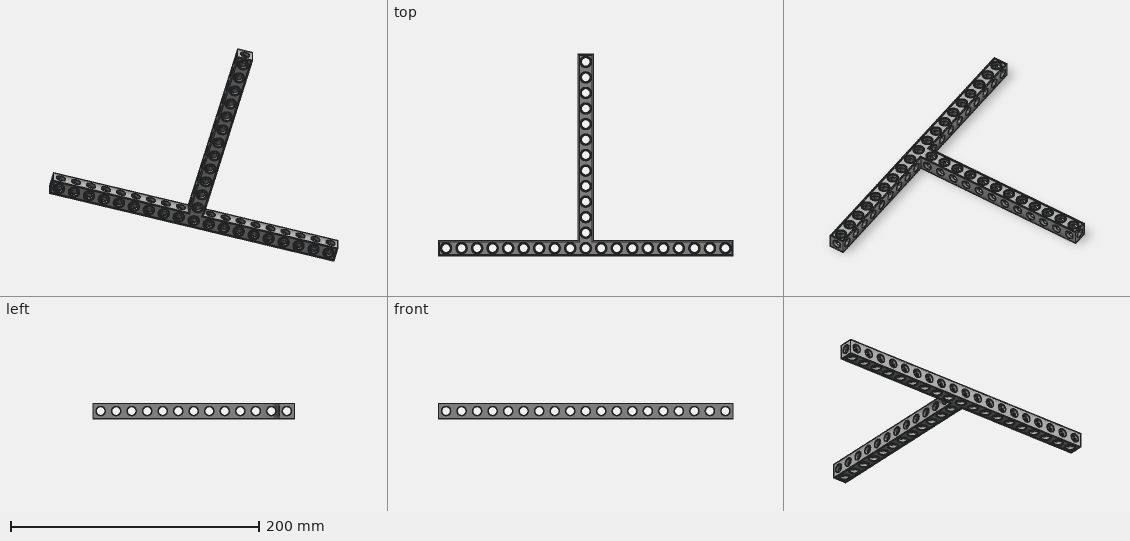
import cadquery as cq
pitch = 12.5
bar_cells = 19
stem_cells = 12
bore_diameter = 7.0
mouth_chamfer = 0.3
border_width = 1.1
recess_depth = 0.2

half_width = pitch / 2
bar_length = bar_cells * pitch
stem_length = stem_cells * pitch
bore_radius = bore_diameter / 2
mouth_radius = bore_radius + mouth_chamfer
rim_radius = bore_radius + border_width

bar_x = [(i - (bar_cells - 1) / 2) * pitch for i in range(bar_cells)]
row_y = [i * pitch for i in range(stem_cells + 1)]
cell_centres = [(x, 0) for x in bar_x] + [(0, y) for y in row_y[1:]]


def tee(bottom, height, inset=0):
    """T-shaped slab whose outline is moved inward by inset."""
    width = pitch - 2 * inset
    stem_reach = half_width + stem_length - inset
    bar = cq.Workplane("XY").box(bar_length - 2 * inset, width, height, centered=(True, True, False))
    stem = cq.Workplane("XY").box(width, stem_reach, height, centered=(True, False, False))
    return bar.union(stem).translate((0, 0, bottom))


def face_recess(bottom):
    """Shallow recess that leaves a border along the edges and a round rim at each hole."""
    rims = cq.Workplane("XY", origin=(0, 0, bottom)).pushPoints(cell_centres)
    rims = rims.circle(rim_radius).extrude(recess_depth)
    return tee(bottom, recess_depth, border_width).cut(rims)


def chamfered_bore(start, direction, length):
    """Through bore with a chamfered mouth at both ends."""
    entry = cq.Vector(*start)
    axis = cq.Vector(*direction)
    leave = entry + axis * length
    return [
        cq.Solid.makeCylinder(bore_radius, length, entry, axis),
        cq.Solid.makeCone(mouth_radius, bore_radius, mouth_chamfer, entry, axis),
        cq.Solid.makeCone(mouth_radius, bore_radius, mouth_chamfer, leave, axis * -1),
    ]


body = tee(-half_width, pitch)
for recess_bottom in (-half_width, half_width - recess_depth):
    body = body.cut(face_recess(recess_bottom))

bores = []
for x in bar_x:
    length_y = pitch + stem_length if x == 0 else pitch
    bores += chamfered_bore((x, -half_width, 0), (0, 1, 0), length_y)
for y in row_y:
    length_x = bar_length if y == 0 else pitch
    bores += chamfered_bore((-length_x / 2, y, 0), (1, 0, 0), length_x)
for x, y in cell_centres:
    bores += chamfered_bore((x, y, -half_width), (0, 0, 1), pitch)

result = cq.Workplane(obj=body.val().cut(*bores))